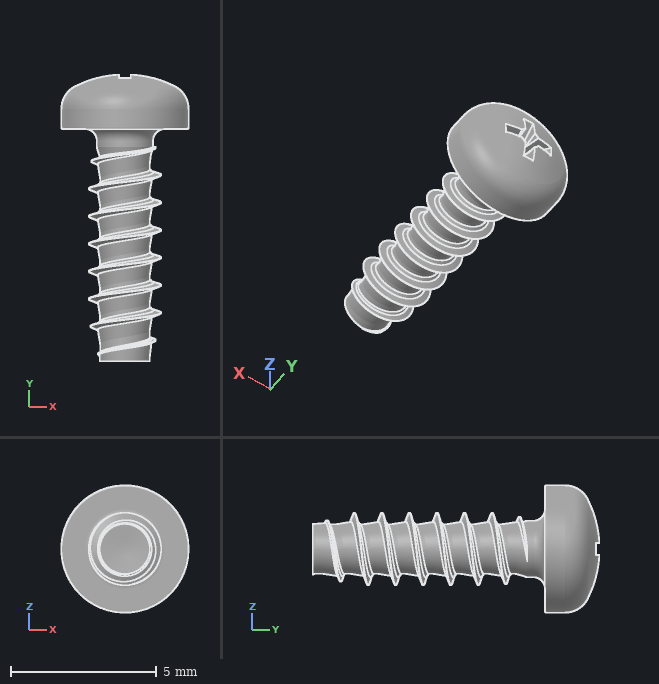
import cadquery as cq
import math


head_radius = 2.2
head_height = 1.9
head_rim_height = 0.7
head_corner_radius = 0.88
head_edge_radius = 0.06

recess_wing_width = 0.4
recess_half_span = 1.06
recess_core_radius = 0.4
recess_depth = 1.1
recess_floor_radius = 0.2

shank_length = 8.0
neck_radius = 0.975
neck_fillet = 0.39
neck_end = 0.62
core_radius = 0.86
core_start = 1.02
dimple_radius = 0.81
dimple_depth = 0.06

pitch = 0.95
thread_radius = 1.25
thread_first_station = 0.39
thread_run_in_station = 0.6
thread_start_radius = 1.06
thread_full_station = 1.5
thread_fade_station = 6.6
crest_flat = 0.02
head_root_depth = 0.04
tip_root_depth = 0.01
shoulder_rise = 0.08
head_foot_run = 0.18
head_knee_run = 0.075
tip_foot_run = 0.115
slope_end_offset = 0.60
knee_rise = 0.3
samples_per_turn = 24


def head():
    corner_centre = head_radius - head_corner_radius
    corner_drop = head_height - head_rim_height
    dome_radius = (corner_centre**2 + corner_drop**2 - head_corner_radius**2) / (
        2 * (corner_drop - head_corner_radius)
    )
    dome_centre = head_height - dome_radius
    joint_angle = math.atan2(head_rim_height - dome_centre, corner_centre)
    corner_mid_angle = joint_angle / 2
    dome_mid_angle = (joint_angle + math.pi / 2) / 2

    def on_corner(angle):
        x = corner_centre + head_corner_radius * math.cos(angle)
        y = head_rim_height + head_corner_radius * math.sin(angle)
        return (x, y)

    def on_dome(angle):
        return (dome_radius * math.cos(angle), dome_centre + dome_radius * math.sin(angle))

    profile = (
        cq.Workplane("XY")
        .lineTo(head_radius - head_edge_radius, 0)
        .radiusArc((head_radius, head_edge_radius), -head_edge_radius)
        .lineTo(head_radius, head_rim_height)
        .threePointArc(on_corner(corner_mid_angle), on_corner(joint_angle))
        .threePointArc(on_dome(dome_mid_angle), (0, head_height))
        .close()
    )
    return profile.revolve(360, (0, 0, 0), (0, 1, 0))


def cross_recess():
    floor = head_height - recess_depth
    wing = (
        cq.Workplane("XY")
        .moveTo(-recess_floor_radius, floor)
        .lineTo(recess_floor_radius, floor)
        .lineTo(recess_half_span, head_height)
        .lineTo(-recess_half_span, head_height)
        .close()
        .extrude(recess_wing_width / 2, both=True)
    )
    core = (
        cq.Workplane("XY")
        .moveTo(0, floor)
        .lineTo(recess_floor_radius, floor)
        .lineTo(recess_core_radius, head_height)
        .lineTo(0, head_height)
        .close()
        .revolve(360, (0, 0, 0), (0, 1, 0))
    )
    cross_wing = wing.rotate((0, 0, 0), (0, 1, 0), 90)
    return wing.union(cross_wing).union(core)


def shank():
    profile = (
        cq.Workplane("XY")
        .lineTo(neck_radius + neck_fillet, 0)
        .radiusArc((neck_radius, -neck_fillet), -neck_fillet)
        .lineTo(neck_radius, -neck_end)
        .lineTo(core_radius, -core_start)
        .lineTo(core_radius, -shank_length)
        .lineTo(dimple_radius, -shank_length)
        .lineTo(0, dimple_depth - shank_length)
        .close()
    )
    return profile.revolve(360, (0, 0, 0), (0, 1, 0))


def crest_radius(station):
    run_in = (station - thread_run_in_station) / (thread_full_station - thread_run_in_station)
    fade = (station - thread_fade_station) / (shank_length - thread_fade_station)
    growing = thread_start_radius + (thread_radius - thread_start_radius) * run_in
    sinking = thread_radius - (thread_radius - core_radius) * fade
    return min(thread_radius, growing, sinking)


def thread_profile(station):
    """Corners (axial offset, radius) of the thread section, from the head side to the tip side."""
    full_height = thread_radius - core_radius
    height = max(crest_radius(station) - core_radius, crest_flat)
    scale = height / full_height
    knee_height = knee_rise * height
    shoulder_height = min(shoulder_rise, knee_height)
    head_flank_run = (head_foot_run - head_knee_run) / (knee_rise * full_height)
    tip_slope_run = (slope_end_offset - tip_foot_run) / shoulder_rise
    head_foot = crest_flat / 2 + head_foot_run * scale
    return [
        (-head_foot - head_root_depth * head_flank_run, core_radius - head_root_depth),
        (-crest_flat / 2 - head_knee_run * scale, core_radius + knee_height),
        (-crest_flat / 2, core_radius + height),
        (crest_flat / 2, core_radius + height),
        (crest_flat / 2 + tip_foot_run * scale, core_radius + shoulder_height),
        (slope_end_offset + tip_root_depth * tip_slope_run, core_radius - tip_root_depth),
    ]


def thread_turn(first_turn, last_turn):
    """Solid stretch of thread between two turn counts, skinned over one spline per section corner."""
    sample_count = math.ceil((last_turn - first_turn) * samples_per_turn)
    corner_paths = [[] for _ in thread_profile(0)]
    for sample in range(sample_count + 1):
        turn = first_turn + (last_turn - first_turn) * sample / sample_count
        angle = 2 * math.pi * turn - math.pi / 2
        station = thread_first_station + pitch * turn
        for path, (offset, radius) in zip(corner_paths, thread_profile(station)):
            x = radius * math.cos(angle)
            z = radius * math.sin(angle)
            path.append(cq.Vector(x, -(station + offset), z))

    edges = [cq.Edge.makeSpline(path) for path in corner_paths]
    next_edges = edges[1:] + edges[:1]
    faces = [cq.Face.makeRuledSurface(edge, other) for edge, other in zip(edges, next_edges)]
    for end in (0, -1):
        outline = cq.Wire.makePolygon([path[end] for path in corner_paths], close=True)
        faces.append(cq.Face.makeFromWires(outline))
    return cq.Workplane(cq.Solid.makeSolid(cq.Shell.makeShell(faces)))


def add_thread(body):
    """Add the thread turn by turn, trimmed where it runs into the neck and past the tip."""
    keep = (
        cq.Workplane("XZ", origin=(0, -thread_run_in_station, 0))
        .circle(2 * thread_radius)
        .extrude(shank_length - thread_run_in_station)
    )
    turns = (shank_length + head_foot_run - thread_first_station) / pitch
    for first_turn in range(math.ceil(turns)):
        last_turn = min(first_turn + 1, turns)
        body = body.union(thread_turn(first_turn, last_turn).intersect(keep))
    return body


result = add_thread(head().cut(cross_recess()).union(shank()))